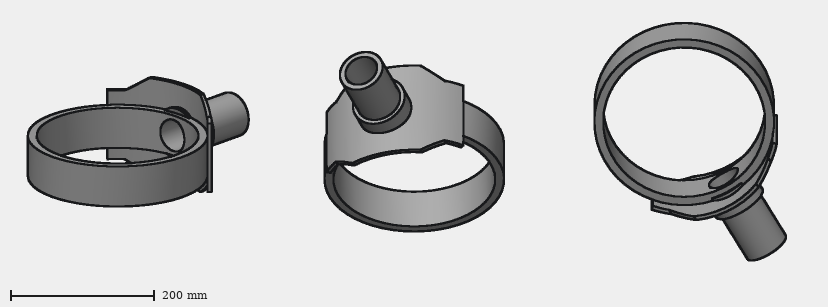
import cadquery as cq
import math

ring_outer_diameter = 250.0
ring_wall = 12.5
ring_height = 59.5
ring_outer_radius = ring_outer_diameter / 2
ring_inner_radius = ring_outer_radius - ring_wall

saddle_thickness = 6.0
saddle_half_angle = 50
saddle_height = 144.0
saddle_end_height = 101.8
saddle_top_half_width = 50.0
saddle_shoulder_half_width = 79.5

overall_length = 356
pipe_diameter = 63.0
bore_diameter = 46.3
collar_diameter = 76.0
collar_inner_end = 119.0
collar_outer_end = 154.5
collar_mouth_angle = 15
pipe_outer_end = overall_length - ring_outer_radius


def cylinder_along_y(diameter, start, end):
    """Solid cylinder about the Y axis between two Y positions."""
    plane = cq.Workplane("XZ", origin=(0, start, 0))
    return plane.circle(diameter / 2).extrude(start - end)


def make_ring():
    profile = cq.Workplane("XY").circle(ring_outer_radius).circle(ring_inner_radius)
    return profile.extrude(ring_height / 2, both=True)


def make_saddle():
    """Arc-shaped plate with radial ends, trimmed to a stepped outline along Y."""
    inner_radius = ring_outer_radius
    outer_radius = inner_radius + saddle_thickness
    sine = math.sin(math.radians(saddle_half_angle))
    cosine = math.cos(math.radians(saddle_half_angle))
    plate = (
        cq.Workplane("XY")
        .moveTo(-outer_radius * sine, outer_radius * cosine)
        .threePointArc((0, outer_radius), (outer_radius * sine, outer_radius * cosine))
        .lineTo(inner_radius * sine, inner_radius * cosine)
        .threePointArc((0, inner_radius), (-inner_radius * sine, inner_radius * cosine))
        .close()
        .extrude(saddle_height / 2, both=True)
    )
    top = saddle_height / 2
    shoulder = saddle_end_height / 2
    quarter_outline = [
        (0, top),
        (saddle_top_half_width, top),
        (saddle_shoulder_half_width, shoulder),
        (outer_radius, shoulder),
        (outer_radius, 0),
    ]
    outline = (
        cq.Workplane("XZ")
        .polyline(quarter_outline)
        .mirrorX()
        .mirrorY()
        .extrude(-outer_radius)
    )
    return plate.intersect(outline)


def make_collar():
    """Collar whose inner end is dished by a shallow cone reaching its rim."""
    radius = collar_diameter / 2
    apex = collar_inner_end + radius * math.tan(math.radians(collar_mouth_angle))
    half_profile = [
        (0, apex),
        (radius, collar_inner_end),
        (radius, collar_outer_end),
        (0, collar_outer_end),
    ]
    return cq.Workplane("XY").polyline(half_profile).close().revolve(360, (0, 0, 0), (0, 1, 0))


pipe = cylinder_along_y(pipe_diameter, collar_outer_end, pipe_outer_end)
bore = cylinder_along_y(bore_diameter, 0, pipe_outer_end)

result = make_ring().union(make_saddle()).union(make_collar()).union(pipe).cut(bore)